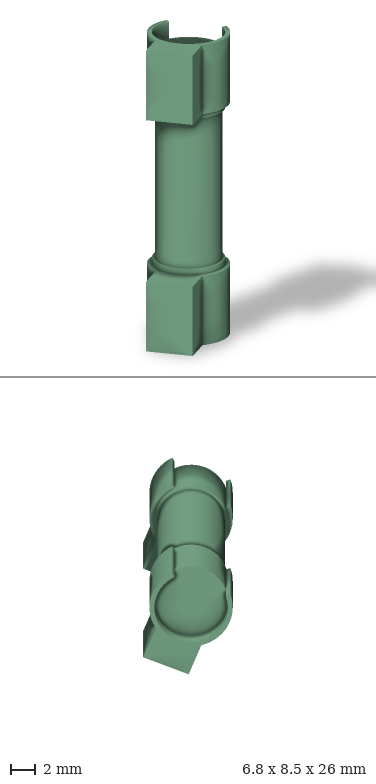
import cadquery as cq
import math

tube_diameter = 5.5
cap_diameter = 6.0
cap_length = 5.0
fuse_length = 23.0

clip_height = 6.0
clip_wall = 0.4
clip_pitch = 20.0
clip_end_angle = 41.4
foot_width = 4.0
foot_reach = 5.5

cap_radius = cap_diameter / 2
clip_radius = cap_radius + clip_wall


def cylinder(diameter, length, center_z):
    """Cylinder on the Z axis, centred at the given height."""
    return cq.Workplane("XY").workplane(offset=center_z).cylinder(length, diameter / 2)


def make_fuse():
    """Tube and its two end caps as one solid."""
    cap_center = (fuse_length - cap_length) / 2
    fuse = cylinder(tube_diameter, fuse_length, 0)
    for side in (-1, 1):
        fuse = fuse.union(cylinder(cap_diameter, cap_length, side * cap_center))
    return fuse


def make_clip(center_z):
    """Clip that grips a cap and is open towards +Y."""
    end_x = math.cos(math.radians(clip_end_angle))
    end_y = math.sin(math.radians(clip_end_angle))
    half_foot = foot_width / 2
    foot_root_y = -math.sqrt(clip_radius**2 - half_foot**2)
    return (
        cq.Workplane("XY")
        .workplane(offset=center_z - clip_height / 2)
        .moveTo(cap_radius * end_x, cap_radius * end_y)
        .lineTo(clip_radius * end_x, clip_radius * end_y)
        .threePointArc((clip_radius, 0), (half_foot, foot_root_y))
        .lineTo(half_foot, -foot_reach)
        .lineTo(-half_foot, -foot_reach)
        .lineTo(-half_foot, foot_root_y)
        .threePointArc((-clip_radius, 0), (-clip_radius * end_x, clip_radius * end_y))
        .lineTo(-cap_radius * end_x, cap_radius * end_y)
        .threePointArc((0, -cap_radius), (cap_radius * end_x, cap_radius * end_y))
        .close()
        .extrude(clip_height)
    )


fuse = make_fuse()
clips = [make_clip(side * clip_pitch / 2) for side in (-1, 1)]

result = cq.Compound.makeCompound([fuse.val(), *[clip.val() for clip in clips]])